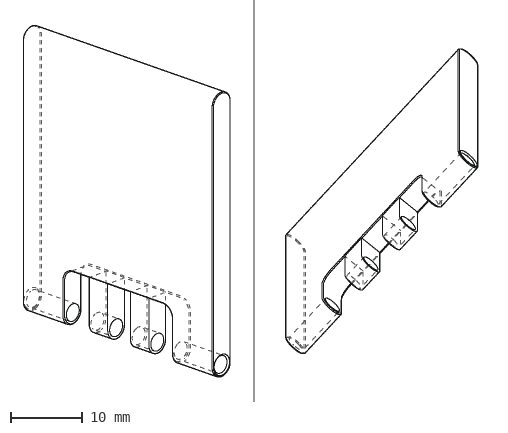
import cadquery as cq

width = 37.0
height = 42.6
thickness = 3.6
side_chamfer = 0.13
notch_chamfer = 0.15
bore_chamfer = 0.25
notch_width = 21.0
notch_height = 8.8
notch_corner_radius = 1.8
finger_width = 3.6
finger_pitch = 8.0
finger_offset = 0.13
finger_inset = 0.13
pin_diameter = 2.6

end_radius = thickness / 2
pin_height = end_radius
finger_thickness = thickness - 2 * finger_inset
finger_root_height = notch_height + notch_chamfer


def make_plate():
    """Plate with rounded upper and lower ends, a lower notch and chamfered side edges."""
    profile = cq.Workplane("YZ").center(0, height / 2).slot2D(height, thickness, 90)
    plate = profile.extrude(width / 2, both=True)
    notch = (
        cq.Workplane("XY")
        .box(notch_width, 2 * thickness, 2 * notch_height)
        .edges("|Y and >Z")
        .fillet(notch_corner_radius)
    )
    plate = plate.cut(notch)
    plate = plate.faces("<X or >X").chamfer(side_chamfer)
    notch_walls = cq.selectors.BoxSelector(
        (-notch_width / 2 - notch_chamfer / 2, -thickness, -thickness),
        (notch_width / 2 + notch_chamfer / 2, thickness, notch_height + notch_chamfer / 2),
    )
    notch_rim = plate.faces(notch_walls).edges("not |Y")
    return notch_rim.chamfer(notch_chamfer)


def make_finger(center_x):
    """Hinge finger with a rounded lower end around the pin bore."""
    radius = finger_thickness / 2
    return (
        cq.Workplane("YZ", origin=(center_x, 0, 0))
        .moveTo(-radius, finger_root_height)
        .lineTo(-radius, pin_height)
        .threePointArc((0, pin_height - radius), (radius, pin_height))
        .lineTo(radius, finger_root_height)
        .close()
        .extrude(finger_width / 2, both=True)
    )


result = make_plate()
for side in (-1, 1):
    result = result.union(make_finger(finger_offset + side * finger_pitch / 2))

pin_bore = cq.Workplane("YZ").center(0, pin_height).circle(pin_diameter / 2).extrude(width, both=True)
result = result.cut(pin_bore)

bore_mouths = result.faces("<X or >X").edges(cq.selectors.RadiusNthSelector(0))
result = bore_mouths.chamfer(bore_chamfer)